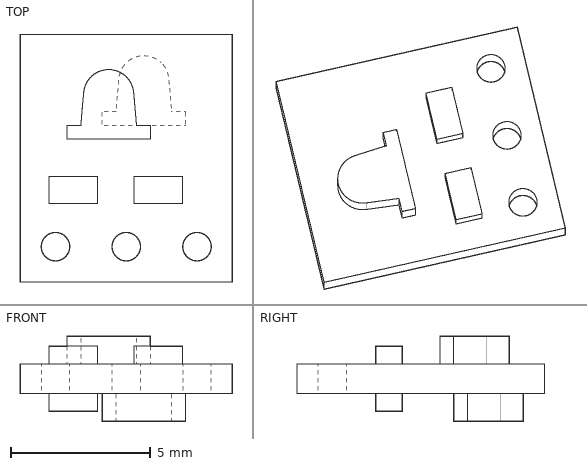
import cadquery as cq

BOARD_WIDTH = 7.62
BOARD_LENGTH = 8.89
BOARD_THICKNESS = 1.07

HOLE_DIAMETER = 1.01
HOLE_COUNT = 3
HOLE_PITCH = BOARD_WIDTH / HOLE_COUNT
HOLE_ROW_Y = -BOARD_LENGTH / 2 + HOLE_PITCH / 2

LED_HEIGHT = 1.0
FLANGE_WIDTH = 3.0
FLANGE_DEPTH = 0.5
LENS_ROOT_WIDTH = 2.0
LENS_SHOULDER_WIDTH = 1.8
LENS_TAPER_LENGTH = 1.17
LENS_LENGTH = 2.0
LED_OFFSET_X = 0.63
TOP_LED_Y = 0.685
BOTTOM_LED_Y = TOP_LED_Y + FLANGE_DEPTH

RESISTOR_WIDTH = 1.75
RESISTOR_DEPTH = 0.96
RESISTOR_HEIGHT = 0.64
RESISTOR_Y = -1.14
LEFT_RESISTOR_X = -1.9
RIGHT_RESISTOR_X = 1.15


def base_height(height, on_top):
    """Z of the lower face of a component standing on, or hanging from, the board."""
    return BOARD_THICKNESS if on_top else -height


def make_board():
    board = cq.Workplane("XY").box(
        BOARD_WIDTH, BOARD_LENGTH, BOARD_THICKNESS, centered=(True, True, False)
    )
    holes = (
        cq.Workplane("XY")
        .center(0, HOLE_ROW_Y)
        .rarray(HOLE_PITCH, 0.09, HOLE_COUNT, 1)
        .circle(HOLE_DIAMETER / 2)
        .extrude(BOARD_THICKNESS)
    )
    return board.cut(holes)


def make_led(x, y, on_top):
    """LED centred on x, with the outer face of its flange at y and its lens toward +Y."""
    flange_y = FLANGE_DEPTH
    shoulder_y = flange_y + LENS_TAPER_LENGTH
    tip_y = flange_y + LENS_LENGTH
    outline = (
        cq.Workplane("XY")
        .moveTo(-FLANGE_WIDTH / 2, 0)
        .lineTo(FLANGE_WIDTH / 2, 0)
        .lineTo(FLANGE_WIDTH / 2, flange_y)
        .lineTo(LENS_ROOT_WIDTH / 2, flange_y)
        .lineTo(LENS_SHOULDER_WIDTH / 2, shoulder_y)
        .threePointArc((0, tip_y), (-LENS_SHOULDER_WIDTH / 2, shoulder_y))
        .lineTo(-LENS_ROOT_WIDTH / 2, flange_y)
        .lineTo(-FLANGE_WIDTH / 2, flange_y)
        .close()
    )
    return outline.extrude(LED_HEIGHT).translate((x, y, base_height(LED_HEIGHT, on_top)))


def make_resistor(x, on_top):
    resistor = cq.Workplane("XY").box(
        RESISTOR_WIDTH, RESISTOR_DEPTH, RESISTOR_HEIGHT, centered=(True, True, False)
    )
    return resistor.translate((x, RESISTOR_Y, base_height(RESISTOR_HEIGHT, on_top)))


result = (
    make_board()
    .union(make_led(-LED_OFFSET_X, TOP_LED_Y, on_top=True))
    .union(make_led(LED_OFFSET_X, BOTTOM_LED_Y, on_top=False))
    .union(make_resistor(LEFT_RESISTOR_X, on_top=True))
    .union(make_resistor(RIGHT_RESISTOR_X, on_top=True))
    .union(make_resistor(LEFT_RESISTOR_X, on_top=False))
)